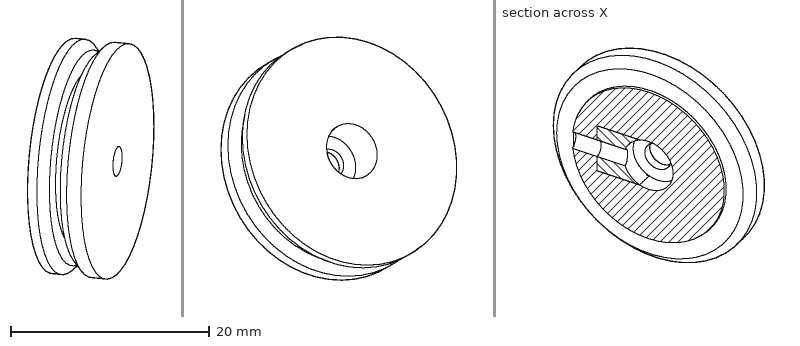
import cadquery as cq

wheel_diameter = 23.9
wheel_width = 5.7
wheel_radius = wheel_diameter / 2
left_face = -wheel_width / 2
right_face = wheel_width / 2

groove_floor_radius = 17.9 / 2
groove_width = 1.15
left_flange_width = 2.0
rim_chamfer = 1.0
groove_left = left_face + left_flange_width
groove_right = groove_left + groove_width
groove_center = (groove_left + groove_right) / 2

bore_radius = 5.75 / 2
bore_depth = 4.68
axle_hole_radius = 3.0 / 2
bore_floor = left_face + bore_depth

insert_height = 5.4
insert_reach = 5.98
insert_length = bore_floor - groove_left
radial_hole_radius = 2.0 / 2


def x_cylinder(radius, start, length):
    """Cylinder along the axle, starting at X = start."""
    return cq.Workplane("YZ", origin=(start, 0, 0)).circle(radius).extrude(length)


def insert_block():
    """Block from the axle plane out to the insert's outer face, on the +Y side."""
    return cq.Workplane("XY").box(
        insert_length, insert_reach, insert_height, centered=(False, False, True)
    ).translate((groove_left, 0, 0))


def wheel_blank():
    """Solid grooved wheel, revolved from its half profile (X, radius)."""
    profile = [
        (left_face, 0),
        (left_face, wheel_radius),
        (groove_left - rim_chamfer, wheel_radius),
        (groove_left, wheel_radius - rim_chamfer),
        (groove_left, groove_floor_radius),
        (groove_right, groove_floor_radius),
        (groove_right, wheel_radius - rim_chamfer),
        (groove_right + rim_chamfer, wheel_radius),
        (right_face, wheel_radius),
        (right_face, 0),
    ]
    return cq.Workplane("XY").polyline(profile).close().revolve(360, (0, 0, 0), (1, 0, 0))


bore = x_cylinder(bore_radius, left_face, bore_depth)
radial_hole = (
    cq.Workplane("XZ", origin=(groove_center, 0, 0))
    .circle(radial_hole_radius)
    .extrude(-groove_floor_radius)
)


def make_wheel():
    """Grooved wheel with a stepped bore, an insert pocket and a radial hole."""
    axle_hole = x_cylinder(axle_hole_radius, left_face, wheel_width)
    return wheel_blank().cut(bore).cut(axle_hole).cut(insert_block()).cut(radial_hole)


def make_insert():
    """Insert whose inner face is flush with the bore wall."""
    return insert_block().cut(bore).cut(radial_hole)


wheel = make_wheel()
insert = make_insert()

result = cq.Compound.makeCompound([wheel.val(), insert.val()])